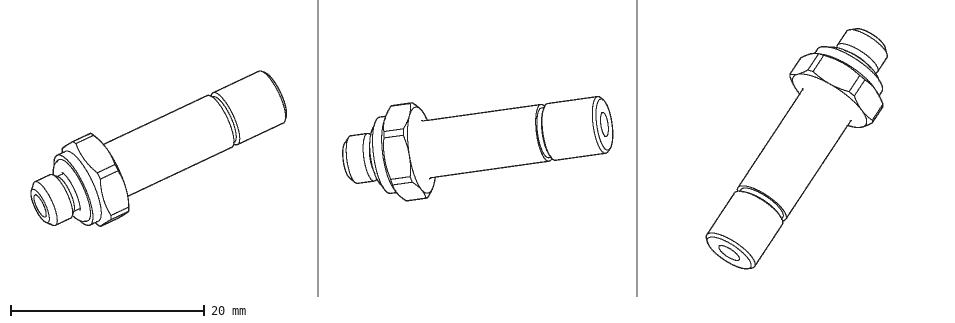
import cadquery as cq
import math


total_length = 28.0
seal_front = 3.3
collar_front = 4.0
collar_back = 5.0
hex_back = 8.0
ring_groove_front = 21.5
ring_groove_back = 22.2

thread_radius = 2.5
thread_chamfer = 0.6
neck_radius = 2.0
thread_back = 2.45
bore_radius = 1.25

seal_outer_radius = 3.5
collar_radius = 4.0

hex_sides = 6
hex_across_flats = 9.0
hex_corner_radius = 5.0
hex_back_face_radius = 4.5
hex_chamfer_angle = math.radians(30)

stem_radius = 2.975
stem_fillet = 0.65
stem_end_chamfer = 0.3
ring_groove_radius = 2.6
ring_groove_flare = 0.2


def revolve_about_y(profile):
    """Turn a closed (radius, Y) profile about the Y axis."""
    return profile.revolve(360, (0, 0), (0, 1))


def make_threaded_end():
    """Threaded tip with its chamfers and the relief neck running into the collar."""
    relief_end = thread_back + (thread_radius - neck_radius)
    return revolve_about_y(
        cq.Workplane("XY")
        .moveTo(0, 0)
        .lineTo(thread_radius - thread_chamfer, 0)
        .lineTo(thread_radius, thread_chamfer)
        .lineTo(thread_radius, thread_back)
        .lineTo(neck_radius, relief_end)
        .lineTo(neck_radius, collar_back)
        .lineTo(0, collar_back)
        .close()
    )


def make_seal():
    """Rounded sealing ring standing out of the collar face, between the neck and its outer radius."""
    section_radius = (seal_outer_radius - neck_radius) / 2
    section_centre_radius = (seal_outer_radius + neck_radius) / 2
    section_centre_y = seal_front + section_radius
    return revolve_about_y(
        cq.Workplane("XY")
        .moveTo(section_centre_radius, section_centre_y)
        .circle(section_radius)
    )


def make_collar():
    """Plain round collar in front of the hexagon."""
    return revolve_about_y(
        cq.Workplane("XY")
        .moveTo(0, collar_front)
        .lineTo(collar_radius, collar_front)
        .lineTo(collar_radius, collar_back)
        .lineTo(0, collar_back)
        .close()
    )


def make_hexagon():
    """Hexagon with corners on X, trimmed by a turned blank with a cone on both ends."""
    front_cone_length = (hex_corner_radius - collar_radius) * math.tan(hex_chamfer_angle)
    back_cone_length = (hex_corner_radius - hex_back_face_radius) * math.tan(hex_chamfer_angle)
    across_corners = hex_across_flats / math.cos(math.pi / hex_sides)
    prism = (
        cq.Workplane("XZ", origin=(0, collar_back, 0))
        .polygon(hex_sides, across_corners)
        .extrude(collar_back - hex_back)
    )
    turned_blank = revolve_about_y(
        cq.Workplane("XY")
        .moveTo(0, collar_back)
        .lineTo(collar_radius, collar_back)
        .lineTo(hex_corner_radius, collar_back + front_cone_length)
        .lineTo(hex_corner_radius, hex_back - back_cone_length)
        .lineTo(hex_back_face_radius, hex_back)
        .lineTo(0, hex_back)
        .close()
    )
    return prism.intersect(turned_blank)


def make_stem():
    """Long stem with a fillet at the hexagon, a retaining groove flared at its back and a chamfered end."""
    fillet_offset = stem_fillet * (1 - math.sqrt(0.5))
    return revolve_about_y(
        cq.Workplane("XY")
        .moveTo(0, hex_back)
        .lineTo(stem_radius + stem_fillet, hex_back)
        .threePointArc(
            (stem_radius + fillet_offset, hex_back + fillet_offset),
            (stem_radius, hex_back + stem_fillet),
        )
        .lineTo(stem_radius, ring_groove_front)
        .lineTo(ring_groove_radius, ring_groove_front)
        .lineTo(ring_groove_radius, ring_groove_back - ring_groove_flare)
        .lineTo(stem_radius, ring_groove_back)
        .lineTo(stem_radius, total_length - stem_end_chamfer)
        .lineTo(stem_radius - stem_end_chamfer, total_length)
        .lineTo(0, total_length)
        .close()
    )


def make_bore():
    """Straight bore through the whole length."""
    return cq.Workplane("XZ").circle(bore_radius).extrude(-total_length)


result = (
    make_threaded_end()
    .union(make_seal())
    .union(make_collar())
    .union(make_hexagon())
    .union(make_stem())
    .cut(make_bore())
)